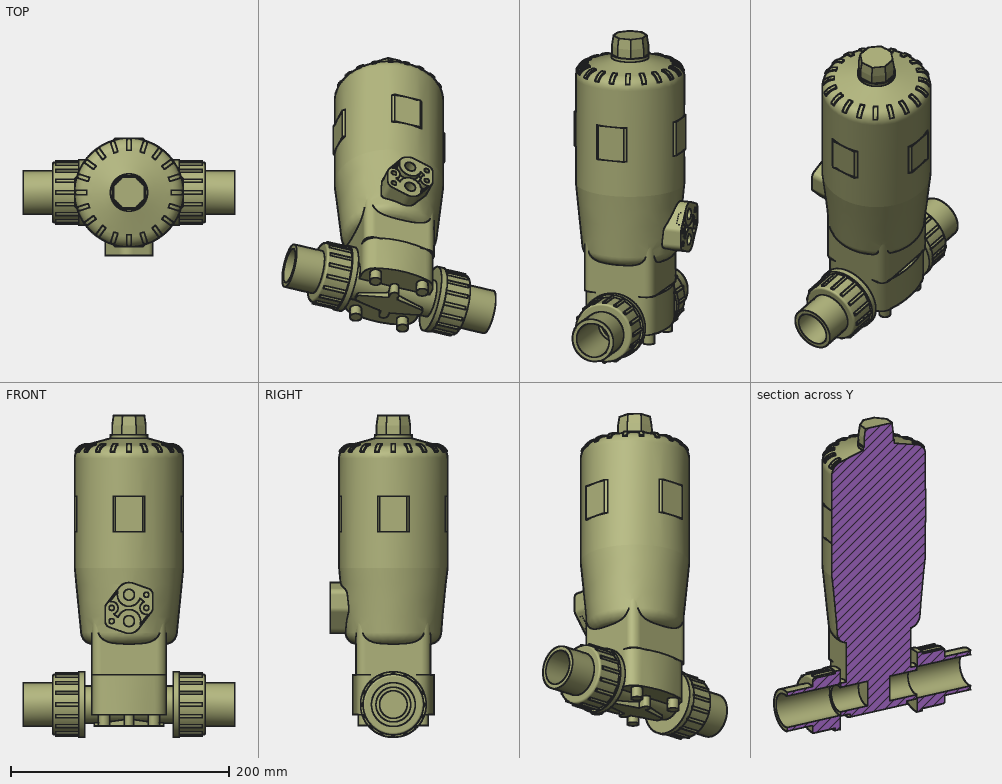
import cadquery as cq
import math


total_height = 295.5
flange_radius = 30.0
top_z = total_height - flange_radius
housing_radius = 50.0
shoulder_radius = 12.0
shoulder_z = 226.0
shoulder_tilt = math.radians(15.5)
taper_top_z = 125.3
taper_bottom_z = 65.5
taper_bottom_radius = 44.0
base_z = 55.5
base_radius = 34.5

cap_rib_count = 20
cap_rib_width = 3.8
cap_rib_rise = 1.2
cap_rib_inner_radius = 38.7
cap_rib_bottom_z = 231.5
cap_rib_toe = 1.5

collar_radius = 17.0
knob_radius = 16.8
collar_top_z = 247.3
knob_taper_z = 256.0
knob_top_radius = 15.5
octagon_sides = 8

pad_bottom_z = 158.7
pad_height = 32.2
pad_half_width = 12.5
pad_root_half_width = 14.5
pad_rise = 2.0

body_half_width = 34.3
neck_corner_radius = 8.5
body_joint_z = 27.2
body_bottom_z = -9.2
body_corner_radius = 13.0
bulge_y = 37.5
bulge_half_width = 24.5
barrel_radius = 17.0

peg_radius = 5.3
peg_x = 22.8
peg_y = 27.0
peg_bottom_z = -19.2
keel_bottom_z = -19.8
keel_half_length = 32.0
keel_half_width = 11.2
keel_end_half_width = 3.5
keel_end_rounding = 2.5
cross_rib_radius = 4.0
cross_rib_half_length = 19.0

pipe_end_x = 194.0 / 2
pipe_radius = 20.0
socket_radius = 16.0
bore_radius = 12.7
bore_end_x = 11.8
nut_outer_x = 70.0
nut_inner_x = 40.5
flange_width = 5.5
nut_radius = 27.8
nut_rounding = 2.0
nut_rib_count = 16
nut_rib_width = 3.0
nut_rib_rise = 1.5
nut_rib_setback = 2.7

port_face_y = -58.0
port_root_y = -26.5
port_center_z = 88.6
port_offset_z = 12.0
port_hole_radius = 5.0
port_hole_depth = 11.8
port_round_radius = 11.2
port_boss_radius = 10.5
screw_offset_x = 16.0
screw_hole_radius = 2.5
screw_hole_depth = 9.0
screw_boss_radius = 6.0
recess_depth = 6.0
recess_rim = 1.2
web_inner = (10.3, 8.5)
web_outer = (13.5, 6.0)


def polar(center, radius, angle):
    """Point on a circle, with the angle measured from the first axis."""
    return center[0] + radius * math.cos(angle), center[1] + radius * math.sin(angle)


def housing_solid(offset=0.0):
    """Revolved housing; a positive offset lifts the rounded shoulder outwards."""
    center = (housing_radius - shoulder_radius, shoulder_z)
    radius = shoulder_radius + offset
    start_angle = math.pi / 2 - shoulder_tilt
    start = polar(center, radius, start_angle)
    middle = polar(center, radius, start_angle / 2)
    apex_z = start[1] + start[0] * math.tan(shoulder_tilt)
    return (
        cq.Workplane("XZ")
        .moveTo(0, apex_z)
        .lineTo(*start)
        .threePointArc(middle, (center[0] + radius, shoulder_z))
        .lineTo(housing_radius + offset, taper_top_z)
        .lineTo(taper_bottom_radius, taper_bottom_z)
        .tangentArcPoint((base_radius, base_z), relative=False)
        .lineTo(0, base_z)
        .close()
        .revolve(360, (0, 0, 0), (0, 1, 0))
    )


def cap_ribs():
    """Short raised ribs that wrap over the housing shoulder."""
    bars = cq.Workplane("XY")
    bar_length = housing_radius - cap_rib_inner_radius
    flat_top_z = shoulder_z + shoulder_radius + cap_rib_rise
    for index in range(cap_rib_count):
        bar = (
            cq.Workplane("XY", origin=(0, 0, cap_rib_bottom_z))
            .center(cap_rib_inner_radius + bar_length / 2, 0)
            .rect(bar_length, cap_rib_width)
            .extrude(flat_top_z - cap_rib_bottom_z)
            .faces("<Z")
            .edges(">X")
            .chamfer(cap_rib_toe)
        )
        bars = bars.add(bar.rotate((0, 0, 0), (0, 0, 1), index * 360 / cap_rib_count))
    return bars.combine().intersect(housing_solid(cap_rib_rise))


def knob():
    """Round collar carrying an octagon whose upper part tapers inwards."""
    collar_height = collar_top_z - shoulder_z
    collar = cq.Workplane("XY", origin=(0, 0, shoulder_z)).circle(collar_radius).extrude(collar_height)

    def octagon(z, radius):
        turn = math.pi / octagon_sides
        corners = [polar((0, 0), radius, turn * (2 * i + 1)) for i in range(octagon_sides)]
        return cq.Workplane("XY", origin=(0, 0, z)).polyline(corners).close()

    lower = octagon(collar_top_z, knob_radius).extrude(knob_taper_z - collar_top_z)
    upper_solid = cq.Solid.makeLoft(
        [
            octagon(knob_taper_z, knob_radius).val(),
            octagon(top_z, knob_top_radius).val(),
        ],
        True,
    )
    return collar.union(lower).union(cq.Workplane(upper_solid))


def label_pads():
    """Four flat pads with sloping sides around the housing."""
    root_y = housing_radius - pad_rise
    pad = (
        cq.Workplane("XY", origin=(0, 0, pad_bottom_z))
        .moveTo(-pad_root_half_width, 0)
        .lineTo(-pad_root_half_width, root_y)
        .lineTo(-pad_half_width, housing_radius)
        .lineTo(pad_half_width, housing_radius)
        .lineTo(pad_root_half_width, root_y)
        .lineTo(pad_root_half_width, 0)
        .close()
        .extrude(pad_height)
    )
    pads = pad
    for angle in (90, 180, 270):
        pads = pads.union(pad.rotate((0, 0, 0), (0, 0, 1), angle))
    return pads


def rounded_square(lower_z, upper_z, corner_radius):
    """Square block of the body width with rounded upright corners."""
    return (
        cq.Workplane("XY", origin=(0, 0, lower_z))
        .rect(2 * body_half_width, 2 * body_half_width)
        .extrude(upper_z - lower_z)
        .edges("|Z")
        .fillet(corner_radius)
    )


def valve_body():
    """Square neck over a body with bulged front and back faces, and the pipe barrel."""
    neck = rounded_square(body_joint_z, taper_top_z, neck_corner_radius)
    lower = rounded_square(body_bottom_z, body_joint_z, body_corner_radius)
    corner_center = body_half_width - body_corner_radius
    bulge_reach = bulge_half_width - corner_center
    bulge_end_y = corner_center + math.sqrt(body_corner_radius**2 - bulge_reach**2)
    bulge = (
        cq.Workplane("XY", origin=(0, 0, body_bottom_z))
        .moveTo(bulge_half_width, -bulge_end_y)
        .lineTo(bulge_half_width, bulge_end_y)
        .threePointArc((0, bulge_y), (-bulge_half_width, bulge_end_y))
        .lineTo(-bulge_half_width, -bulge_end_y)
        .threePointArc((0, -bulge_y), (bulge_half_width, -bulge_end_y))
        .close()
        .extrude(body_joint_z - body_bottom_z)
    )
    barrel = cq.Workplane("YZ").circle(barrel_radius).extrude(nut_inner_x, both=True)
    return neck.union(lower).union(bulge).union(barrel)


def underside():
    """Four corner pegs, a diamond-shaped keel and a round-ended cross rib below the body."""
    pegs = (
        cq.Workplane("XY", origin=(0, 0, peg_bottom_z))
        .rect(2 * peg_x, 2 * peg_y, forConstruction=True)
        .vertices()
        .circle(peg_radius)
        .extrude(body_bottom_z - peg_bottom_z)
    )
    keel = (
        cq.Workplane("XY", origin=(0, 0, keel_bottom_z))
        .moveTo(-keel_half_length, -keel_end_half_width)
        .lineTo(0, -keel_half_width)
        .lineTo(keel_half_length, -keel_end_half_width)
        .lineTo(keel_half_length, keel_end_half_width)
        .lineTo(0, keel_half_width)
        .lineTo(-keel_half_length, keel_end_half_width)
        .close()
        .extrude(body_bottom_z - keel_bottom_z)
        .edges("|Z and (>X or <X)")
        .fillet(keel_end_rounding)
    )
    cross_rib = (
        cq.Workplane("XY", origin=(0, 0, keel_bottom_z))
        .slot2D(2 * cross_rib_half_length, 2 * cross_rib_radius, 90)
        .extrude(body_bottom_z - keel_bottom_z)
    )
    return pegs.union(keel).union(cross_rib)


def pipe_end():
    """Union nut with round-topped grip ribs, and pipe spigot, on the +X side."""
    inner_plane = cq.Workplane("YZ", origin=(nut_inner_x, 0, 0))
    nut = (
        inner_plane.circle(nut_radius)
        .extrude(nut_outer_x - nut_inner_x)
        .faces(">X")
        .edges()
        .fillet(nut_rounding)
    )
    flange = inner_plane.circle(flange_radius).extrude(flange_width)
    pipe = inner_plane.circle(pipe_radius).extrude(pipe_end_x - nut_inner_x)
    rib = (
        inner_plane.slot2D(2 * (nut_radius + nut_rib_rise), nut_rib_width, 90)
        .extrude(nut_outer_x - nut_rib_setback - nut_inner_x)
    )
    for index in range(nut_rib_count // 2):
        nut = nut.union(rib.rotate((0, 0, 0), (1, 0, 0), index * 360 / nut_rib_count))
    return nut.union(flange).union(pipe)


def pipe_bore():
    """Stepped blind bore of the +X pipe end."""
    socket_length = pipe_end_x - nut_inner_x
    socket = cq.Workplane("YZ", origin=(nut_inner_x, 0, 0)).circle(socket_radius).extrude(socket_length)
    bore = cq.Workplane("YZ", origin=(bore_end_x, 0, 0)).circle(bore_radius).extrude(pipe_end_x - bore_end_x)
    return socket.union(bore)


def port_plane(y):
    """Work plane facing -Y, centred on the air port block."""
    return cq.Workplane("XZ", origin=(0, y, port_center_z))


def port_outline(y):
    """Block outline wrapped clockwise around the rounds of the holes."""
    rounds = [
        (-screw_offset_x, -port_offset_z, screw_boss_radius),
        (-screw_offset_x, 0, screw_boss_radius),
        (0, port_offset_z, port_round_radius),
        (screw_offset_x, port_offset_z, screw_boss_radius),
        (screw_offset_x, 0, screw_boss_radius),
        (0, -port_offset_z, port_round_radius),
    ]

    def tangent_angle(first, second):
        """Outward direction of the straight edge tangent to two neighbouring rounds."""
        step_x = second[0] - first[0]
        step_z = second[1] - first[1]
        lean = math.asin((second[2] - first[2]) / math.hypot(step_x, step_z))
        return math.atan2(step_z, step_x) + math.pi / 2 + lean

    count = len(rounds)
    angles = [tangent_angle(rounds[i], rounds[(i + 1) % count]) for i in range(count)]
    outline = port_plane(y).moveTo(*polar(rounds[0][:2], rounds[0][2], angles[0]))
    for index in range(1, count + 1):
        center_x, center_z, radius = rounds[index % count]
        angle_in = angles[index - 1]
        angle_out = angles[index % count]
        angle_middle = angle_out + (angle_in - angle_out) % (2 * math.pi) / 2
        outline = outline.lineTo(*polar((center_x, center_z), radius, angle_in)).threePointArc(
            polar((center_x, center_z), radius, angle_middle),
            polar((center_x, center_z), radius, angle_out),
        )
    return outline.close()


def port_recess():
    """Shallow recess left between the raised lands around the port and screw holes."""
    recess_floor_y = port_face_y + recess_depth
    recess = port_outline(recess_floor_y).offset2D(-recess_rim).extrude(recess_depth)
    side_x = screw_offset_x + screw_boss_radius
    floor = port_plane(recess_floor_y)
    land = floor.center(0, port_offset_z).circle(port_boss_radius).extrude(recess_depth)
    screw_land = floor.center(screw_offset_x, 0).circle(screw_boss_radius).extrude(recess_depth)
    web = (
        floor.moveTo(0, port_offset_z)
        .lineTo(*web_inner)
        .lineTo(*web_outer)
        .lineTo(screw_offset_x, 0)
        .lineTo(screw_offset_x, -screw_boss_radius)
        .lineTo(side_x, -screw_boss_radius)
        .lineTo(side_x, port_offset_z + port_round_radius)
        .lineTo(0, port_offset_z + port_round_radius)
        .close()
        .extrude(recess_depth)
    )
    lands = land.union(screw_land).union(web)
    center = (0, 0, port_center_z)
    opposite_lands = lands.rotate(center, (0, 1, port_center_z), 180)
    return recess.cut(lands).cut(opposite_lands)


def port_holes():
    """Two air ports and four screw holes, all blind."""
    ports = (
        port_plane(port_face_y)
        .pushPoints([(0, port_offset_z), (0, -port_offset_z)])
        .circle(port_hole_radius)
        .extrude(-port_hole_depth)
    )
    screws = (
        port_plane(port_face_y)
        .pushPoints(
            [
                (screw_offset_x, port_offset_z),
                (screw_offset_x, 0),
                (-screw_offset_x, 0),
                (-screw_offset_x, -port_offset_z),
            ]
        )
        .circle(screw_hole_radius)
        .extrude(-screw_hole_depth)
    )
    return ports.union(screws)


port_block = port_outline(port_root_y).extrude(port_root_y - port_face_y)
right_end = pipe_end()
right_bore = pipe_bore()

result = (
    housing_solid()
    .union(cap_ribs())
    .union(knob())
    .union(label_pads())
    .union(valve_body())
    .union(underside())
    .union(right_end)
    .union(right_end.mirror("YZ"))
    .cut(right_bore)
    .cut(right_bore.mirror("YZ"))
    .union(port_block)
    .cut(port_recess())
    .cut(port_holes())
)